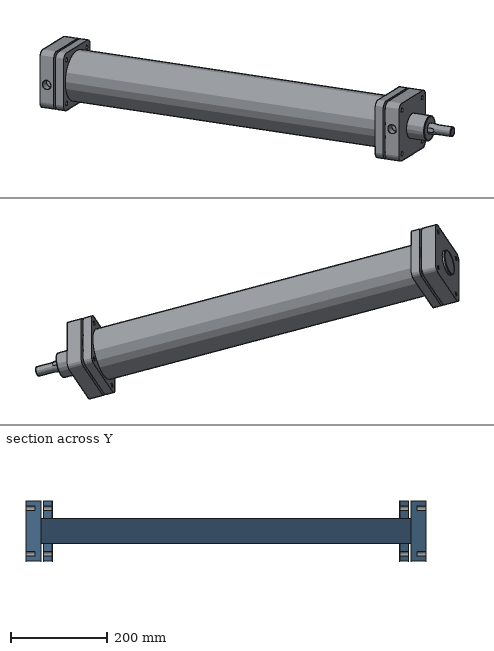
import cadquery as cq

total_length = 931.0
rear_boss_length = 6.0
cap_thickness = 32.0
cap_gap = 5.0
plate_thickness = 19.0
front_cap_end = 837.0
front_boss_end = 878.0
collar_end = 889.0
thread_start = 895.0

square_side = 126.0
corner_radius = 14.0
bolt_offset = 47.5
bolt_hole_diameter = 8.0
cap_bolt_hole_depth = 19.0

boss_diameter = 53.0
boss_chamfer = 1.4

port_diameter = 20.0
port_depth = 19.0
port_height = 8.0

barrel_diameter = 109.0
collar_diameter = 23.0
width_across_flats = 21.0
thread_diameter = 20.5
thread_chamfer = 1.4

rear_cap_start = rear_boss_length
rear_cap_end = rear_cap_start + cap_thickness
rear_plate_start = rear_cap_end + cap_gap
front_cap_start = front_cap_end - cap_thickness
front_plate_start = front_cap_start - cap_gap - plate_thickness


def plane_at(x):
    """Workplane square to the X axis; extruding from it runs toward +X."""
    return cq.Workplane("YZ", origin=(x, 0, 0))


def round_bar(start, end, diameter):
    """Round bar on the X axis between two X places."""
    return plane_at(start).circle(diameter / 2).extrude(end - start)


def rounded_square(start, thickness):
    """Square block with its four long corners rounded."""
    block = plane_at(start).rect(square_side, square_side).extrude(thickness)
    return block.edges("|X").fillet(corner_radius)


def bolt_holes(start, length):
    """Four cylinders to cut away, running toward +X, or toward -X for a negative length."""
    spacing = 2 * bolt_offset
    corners = plane_at(start).rect(spacing, spacing, forConstruction=True).vertices()
    return corners.circle(bolt_hole_diameter / 2).extrude(length)


def port(cap_start, height):
    """Cylinder to cut away for a blind port in the middle of a cap's -Y side."""
    center = (cap_start + cap_thickness / 2, -square_side / 2, height)
    return cq.Workplane("XZ", origin=center).circle(port_diameter / 2).extrude(-port_depth)


def make_rear_cap():
    """Cap with a low boss, and blind bolt holes in its outer face."""
    boss = round_bar(0, rear_cap_start, boss_diameter).faces("<X").chamfer(boss_chamfer)
    cap = rounded_square(rear_cap_start, cap_thickness).union(boss)
    return cap.cut(bolt_holes(rear_cap_start, cap_bolt_hole_depth)).cut(port(rear_cap_start, -port_height))


def make_front_cap():
    """Cap with a long boss on the rod side, and blind bolt holes in its outer face."""
    boss = round_bar(front_cap_end, front_boss_end, boss_diameter).faces(">X").chamfer(boss_chamfer)
    cap = rounded_square(front_cap_start, cap_thickness).union(boss)
    return cap.cut(bolt_holes(front_cap_end, -cap_bolt_hole_depth)).cut(port(front_cap_start, port_height))


def make_barrel():
    """Cylinder that runs through both plates and butts against the caps."""
    return round_bar(rear_cap_end, front_cap_start, barrel_diameter)


def make_plate(start):
    """Plate around the barrel with bolt holes through it."""
    bore = round_bar(start, start + plate_thickness, barrel_diameter)
    return rounded_square(start, plate_thickness).cut(bore).cut(bolt_holes(start, plate_thickness))


def make_piston_rod():
    """Rod end: a collar with wrench flats on +Y and -Y, a cone, and a thinner threaded stretch."""
    collar_radius = collar_diameter / 2
    thread_radius = thread_diameter / 2
    rod = (
        cq.Workplane("XY")
        .moveTo(front_boss_end, 0)
        .lineTo(front_boss_end, collar_radius)
        .lineTo(collar_end, collar_radius)
        .lineTo(thread_start, thread_radius)
        .lineTo(total_length - thread_chamfer, thread_radius)
        .lineTo(total_length, thread_radius - thread_chamfer)
        .lineTo(total_length, 0)
        .close()
        .revolve(360, (0, 0, 0), (1, 0, 0))
    )
    between_flats = plane_at(front_boss_end).rect(width_across_flats, collar_diameter)
    return rod.intersect(between_flats.extrude(total_length - front_boss_end))


rear_cap = make_rear_cap()
front_cap = make_front_cap()
barrel = make_barrel()
plates = [make_plate(start) for start in (rear_plate_start, front_plate_start)]
piston_rod = make_piston_rod()

result = cq.Compound.makeCompound(
    [rear_cap.val(), front_cap.val(), barrel.val(), *[plate.val() for plate in plates], piston_rod.val()]
)